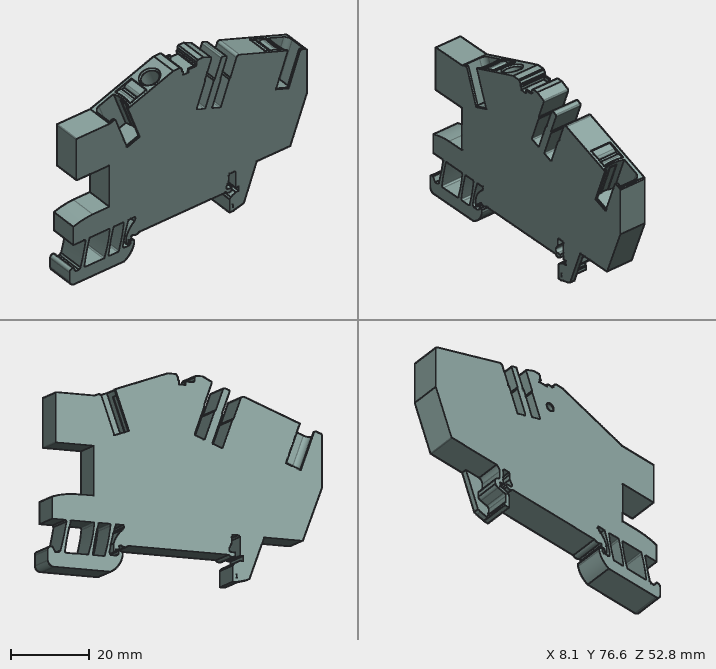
import cadquery as cq
import math


thickness = 8.1
length = 76.57
height = 52.83

slope_angle = 20.0
belly_z = 12.43
root_z = belly_z + 1.0
rail_seat_z = 7.12

front_slope_foot = (12.95, 45.37)
rear_slope_foot = (76.25, 40.65)

slope_tan = math.tan(math.radians(slope_angle))
front_slope_top_y = front_slope_foot[0] + (height - front_slope_foot[1]) / slope_tan


def extrude_x(sketch, start=0.0, end=thickness):
    """Extrude a closed (Y, Z) wire from x = start to x = end."""
    return sketch.extrude(end - start).translate((start, 0, 0))


def outline_start(first, others):
    """Open (Y, Z) path of straight lines, to be continued."""
    path = cq.Workplane("YZ").moveTo(*first)
    for point in others:
        path = path.lineTo(*point)
    return path


def outline(points):
    """Closed (Y, Z) polygon."""
    return cq.Workplane("YZ").polyline(points).close()


def round_corner(body, corner, radius):
    """Fillet the full-width edge nearest to a (Y, Z) corner."""
    nearest = cq.selectors.NearestToPointSelector((thickness / 2, *corner))
    return body.edges("|X").edges(nearest).fillet(radius)


rear_shoulder_y = 53.5
rear_shoulder_z = rear_slope_foot[1] + (rear_slope_foot[0] - rear_shoulder_y) * slope_tan
rear_side_top_z = 40.3
bay_back_y = 12.83
bay_top_z = 32.3
bay_bottom_z = 19.35
upper_nose_y = 2.2
lower_nose_y = 1.25
lower_nose_z = 18.2
lower_nose_bend_y = 7.5
lower_nose_mid = (4.4, 19.03)
nose_edge_radius = 0.2
rear_bottom_y = 71.2
rear_bend_z = 26.7
carrier_top_y = 43.15


def main_block():
    sketch = (
        outline_start(rear_slope_foot, [
            (rear_shoulder_y, rear_shoulder_z),
            (51.6, 49.47),
            (48.4, 50.63),
            (46.4, 51.3),
            (carrier_top_y, height),
            (front_slope_top_y, height),
            front_slope_foot,
            (upper_nose_y, front_slope_foot[1]),
            (upper_nose_y, bay_top_z),
            (bay_back_y, bay_top_z),
            (bay_back_y, bay_bottom_z),
            (lower_nose_bend_y, bay_bottom_z),
        ])
        .threePointArc(lower_nose_mid, (lower_nose_y, lower_nose_z))
        .lineTo(lower_nose_y, belly_z)
        .lineTo(rear_bottom_y, belly_z)
        .lineTo(length, rear_bend_z)
        .lineTo(length, rear_side_top_z)
        .close()
    )
    body = extrude_x(sketch)
    rounded_edges = [
        (upper_nose_y, front_slope_foot[1]),
        (upper_nose_y, bay_top_z),
        (rear_bottom_y, belly_z),
    ]
    for corner in rounded_edges:
        body = round_corner(body, corner, nose_edge_radius)
    return body


def rail_seat():
    """Thick web that rests on the rail, with a hooked lip at each end."""
    sketch = (
        cq.Workplane("YZ")
        .moveTo(51.6, belly_z)
        .lineTo(51.36, 11.8)
        .lineTo(51.36, 10.1)
        .lineTo(50.65, 8.9)
        .threePointArc((50.65, 8.2), (51.2, 7.87))
        .lineTo(52.3, 7.87)
        .lineTo(52.3, 6.9)
        .threePointArc((51.5, 6.6), (50.5, rail_seat_z))
        .lineTo(22.5, rail_seat_z)
        .threePointArc((21.4, 6.7), (20.4, rail_seat_z))
        .lineTo(19.95, 6.8)
        .lineTo(19.95, 6.0)
        .lineTo(19.1, 6.0)
        .lineTo(18.85, 5.1)
        .lineTo(18.37, 5.1)
        .lineTo(18.37, 7.4)
        .threePointArc((19.15, 9.2), (20.9, 11.2))
        .lineTo(21.3, 11.9)
        .lineTo(21.1, belly_z)
        .lineTo(21.1, root_z)
        .lineTo(51.6, root_z)
        .close()
    )
    return extrude_x(sketch)


hook_tip_y = 51.6
hook_web_y = 53.64
gusset_thickness = 1.5


def rear_hook():
    """Springy S-shaped strip that grips behind the rail edge."""
    sketch = (
        cq.Workplane("YZ")
        .moveTo(55.9, root_z)
        .lineTo(55.9, belly_z)
        .threePointArc((55.15, 11.9), (54.8, 11.0))
        .lineTo(54.8, 8.6)
        .threePointArc((55.2, 8.05), (55.7, 7.9))
        .lineTo(56.24, 7.2)
        .lineTo(56.24, 5.6)
        .threePointArc((55.9, 5.1), (55.4, 4.85))
        .lineTo(53.4, 4.35)
        .threePointArc((52.9, 4.15), (52.7, 3.7))
        .lineTo(52.7, 1.4)
        .lineTo(53.0, 1.2)
        .lineTo(53.0, 0.2)
        .lineTo(hook_tip_y, 0.2)
        .lineTo(hook_tip_y, 4.4)
        .lineTo(52.0, 4.95)
        .lineTo(53.6, 5.78)
        .lineTo(54.58, 5.78)
        .lineTo(54.58, rail_seat_z)
        .lineTo(hook_web_y, rail_seat_z)
        .lineTo(hook_web_y, 12.0)
        .lineTo(53.2, belly_z)
        .lineTo(53.2, root_z)
        .close()
    )
    return extrude_x(sketch)


def hook_gusset():
    """Thin plate on the +X side that stiffens the rear hook."""
    points = [
        (60.4, belly_z),
        (56.3, 1.3),
        (55.5, 0.95),
        (52.9, 0.3),
        (52.5, 4.2),
        (55.5, 5.5),
        (55.5, 7.8),
        (54.4, 8.4),
        (54.6, belly_z),
    ]
    return extrude_x(outline(points), thickness - gusset_thickness)


foot_floor_z = 3.9
window_radius = 0.4


def front_foot():
    """Foot bar with its hook, and the block that the spring legs are cut from."""
    sketch = (
        cq.Workplane("YZ")
        .moveTo(19.1, root_z)
        .lineTo(19.1, belly_z)
        .lineTo(18.8, 11.8)
        .threePointArc((17.8, 8.2), (17.25, 5.4))
        .threePointArc((17.25, 4.75), (17.7, 4.34))
        .lineTo(19.2, 4.34)
        .lineTo(19.75, 4.8)
        .lineTo(19.75, 5.6)
        .lineTo(20.5, 5.6)
        .lineTo(20.9, 5.2)
        .lineTo(20.9, 4.4)
        .threePointArc((19.85, 1.96), (17.6, 0))
        .lineTo(1.6, 0)
        .threePointArc((0.47, 0.47), (0, 1.6))
        .lineTo(0, 4.35)
        .threePointArc((0.26, 4.99), (0.9, 5.25))
        .lineTo(1.25, 5.25)
        .lineTo(2.05, foot_floor_z)
        .lineTo(3.05, foot_floor_z)
        .lineTo(3.55, 4.4)
        .threePointArc((4.5, 8.3), (5.2, 12.0))
        .lineTo(4.9, belly_z)
        .lineTo(4.9, root_z)
        .close()
    )
    return extrude_x(sketch)


def leg_window(top_rear_y, top_front_y, bottom_front_y, bottom_rear_y, rear_bow, front_bow):
    """Barrel-shaped opening between two spring legs."""
    mid_z = (belly_z + foot_floor_z) / 2
    rear_mid = ((top_rear_y + bottom_rear_y) / 2 + rear_bow, mid_z)
    front_mid = ((top_front_y + bottom_front_y) / 2 - front_bow, mid_z)
    sketch = (
        cq.Workplane("YZ")
        .moveTo(top_rear_y, belly_z)
        .lineTo(top_front_y, belly_z)
        .threePointArc(front_mid, (bottom_front_y, foot_floor_z))
        .lineTo(bottom_rear_y, foot_floor_z)
        .threePointArc(rear_mid, (top_rear_y, belly_z))
        .close()
    )
    return extrude_x(sketch).edges("|X").fillet(window_radius)


slot_width = 3.0
slot_mouth_width = 3.4
slot_step_depth = 8.1
slot_step_rise = 0.5
slot_reach = 20.0
slot_floor_radius = 0.3
slot_pitch = 5.3
first_slot_floor = (42.35, 36.9)


def marker_slot(index):
    """Slanted slot, slightly wider above a small step."""
    half = slot_width / 2
    half_mouth = slot_mouth_width / 2
    step_end = slot_step_depth + slot_step_rise
    slot = extrude_x(outline([
        (-half, 0),
        (half, 0),
        (half, slot_step_depth),
        (half_mouth, step_end),
        (half_mouth, slot_reach),
        (-half_mouth, slot_reach),
        (-half_mouth, step_end),
        (-half, slot_step_depth),
    ]))
    slot = slot.edges("|X and <Z").fillet(slot_floor_radius)
    angle = math.radians(slope_angle)
    floor_y = first_slot_floor[0] + index * slot_pitch * math.cos(angle)
    floor_z = first_slot_floor[1] - index * slot_pitch * math.sin(angle)
    return slot.rotate((0, 0, 0), (1, 0, 0), -slope_angle).translate((0, floor_y, floor_z))


rear_shoulder_corner = (54.1, 48.7)
rear_shoulder_radius = 0.8
slot_mouth_radius = 0.4
slot_mouth_corners = [(50.9, 49.7), (49.05, 50.35), (45.75, 51.5)]


def round_slot_mouths(body):
    body = round_corner(body, rear_shoulder_corner, rear_shoulder_radius)
    for corner in slot_mouth_corners:
        body = round_corner(body, corner, slot_mouth_radius)
    return body


groove_front_y = 36.65
groove_rear_y = 41.2
groove_floor_z = 50.2
lip_top_z = 51.1
lip_base = 0.6
lip_crest = 0.45
lip_split_y = 38.5


def marker_groove():
    points = [
        (35.65, height),
        (35.95, 52.6),
        (36.4, 51.85),
        (36.3, 51.4),
        (groove_front_y, lip_top_z),
        (groove_front_y, groove_floor_z),
        (groove_rear_y, groove_floor_z),
        (groove_rear_y, lip_top_z),
        (40.65, lip_top_z),
        (40.97, 51.5),
        (40.97, 52.3),
        (41.35, height),
    ]
    return extrude_x(outline(points))


def groove_lip(start_y, end_y):
    """Low lip along the -X edge of the groove floor, with a leaning inner face."""
    section = [
        (0, groove_floor_z),
        (lip_base, groove_floor_z),
        (lip_crest, lip_top_z),
        (0, lip_top_z),
    ]
    lip = cq.Workplane("XZ").polyline(section).close().extrude(start_y - end_y)
    return lip.translate((0, start_y, 0))


def groove_lips():
    near_lip = groove_lip(groove_front_y, lip_split_y)
    far_lip = groove_lip(lip_split_y, groove_rear_y)
    far_lip = far_lip.mirror("YZ").translate((thickness, 0, 0))
    return near_lip.union(far_lip)


side_hole_y = 37.55
side_hole_z = 43.7
side_hole_diameter = 2.2
side_hole_mouth_diameter = 2.5
side_hole_depth = 3.0


def side_hole():
    chamfer = (side_hole_mouth_diameter - side_hole_diameter) / 2
    center = cq.Workplane("YZ").center(side_hole_y, side_hole_z)
    bore = center.circle(side_hole_diameter / 2).extrude(side_hole_depth)
    mouth = center.circle(side_hole_mouth_diameter / 2).extrude(chamfer, taper=45)
    return bore.union(mouth)


pocket_min_x = 1.15
pocket_max_x = 7.5
pocket_start = 0.4
pocket_end = 7.05
pocket_bulge = 0.4
pocket_depth = 11.5
pocket_corner_radius = 1.6

notch_start = 1.9
notch_end = 6.25
notch_depth = 11.2
notch_mouth_radius = 0.6

recess_min_x = 3.0
recess_max_x = 5.1
recess_top = 1.5
recess_end = pocket_end + pocket_bulge + 0.1

button_start = 7.8
button_bulge = 0.3
button_end = 13.4
button_width = 6.23
button_depth = pocket_depth
button_sink = 0.35

grip_center = 10.2
grip_half_width = 1.2
grip_floor_half_width = 0.35
grip_depth = 0.65

test_hole_x = 4.5
test_hole_y = 16.7
test_hole_diameter = 4.9
test_hole_mouth_diameter = 5.8
test_hole_depth = 5.7


def bulged_prism(min_x, max_x, start, start_bulge, end, end_bulge, depth):
    """Prism sunk from the slope, its two ends bowed up the slope by the given amounts."""
    mid_x = (min_x + max_x) / 2
    sketch = cq.Workplane("XY").moveTo(min_x, start)
    if start_bulge:
        sketch = sketch.threePointArc((mid_x, start + start_bulge), (max_x, start))
    else:
        sketch = sketch.lineTo(max_x, start)
    sketch = sketch.lineTo(max_x, end)
    if end_bulge:
        sketch = sketch.threePointArc((mid_x, end + end_bulge), (min_x, end))
    else:
        sketch = sketch.lineTo(min_x, end)
    return sketch.close().extrude(-depth)


def wire_pocket():
    """Wire entry: a deep pocket, a notch through its +X wall and a flat on its curved wall."""
    pocket = bulged_prism(pocket_min_x, pocket_max_x, pocket_start, 0, pocket_end, pocket_bulge, pocket_depth)
    pocket = pocket.edges("|Z and <X and <Y").fillet(pocket_corner_radius)

    notch = (
        cq.Workplane("YZ")
        .moveTo(notch_start - notch_mouth_radius, 0)
        .radiusArc((notch_start, -notch_mouth_radius), notch_mouth_radius)
        .lineTo(notch_start, -notch_depth)
        .lineTo(notch_end, -notch_depth)
        .lineTo(notch_end, 0)
        .close()
    )
    notch = extrude_x(notch, pocket_max_x)

    flat = cq.Workplane("XY").box(
        recess_max_x - recess_min_x,
        recess_end - pocket_start,
        pocket_depth - recess_top,
        centered=False,
    )
    flat = flat.translate((recess_min_x, pocket_start, -pocket_depth))
    return pocket.union(notch).union(flat)


def button_seat():
    """Full button envelope, up to the slope surface."""
    margin = (thickness - button_width) / 2
    return bulged_prism(
        margin, thickness - margin, button_start, button_bulge, button_end, 0, button_depth
    )


def button_shape():
    """Push button: its face lies just below the slope and carries a finger groove with rolled sides."""
    face_z = -button_sink
    floor_z = face_z - grip_depth
    roll_width = grip_half_width - grip_floor_half_width
    roll_offset = grip_floor_half_width + 0.4 * roll_width
    roll_z = face_z - 0.35 * grip_depth
    floor_start = grip_center - grip_floor_half_width
    floor_end = grip_center + grip_floor_half_width
    grip_start = grip_center - grip_half_width
    grip_end = grip_center + grip_half_width
    side = (
        cq.Workplane("YZ")
        .moveTo(0, face_z)
        .lineTo(grip_start, face_z)
        .threePointArc((grip_center - roll_offset, roll_z), (floor_start, floor_z))
        .lineTo(floor_end, floor_z)
        .threePointArc((grip_center + roll_offset, roll_z), (grip_end, face_z))
        .lineTo(button_end, face_z)
        .lineTo(button_end, -button_depth)
        .lineTo(0, -button_depth)
        .close()
    )
    return button_seat().intersect(extrude_x(side))


def test_hole():
    chamfer = (test_hole_mouth_diameter - test_hole_diameter) / 2
    center = cq.Workplane("XY").center(test_hole_x, test_hole_y)
    bore = center.circle(test_hole_diameter / 2).extrude(-test_hole_depth)
    mouth = center.circle(test_hole_mouth_diameter / 2).extrude(-chamfer, taper=45)
    return bore.union(mouth)


def on_front_slope(shape):
    tilted = shape.rotate((0, 0, 0), (1, 0, 0), slope_angle)
    return tilted.translate((0, *front_slope_foot))


def on_rear_slope(shape):
    tilted = shape.rotate((0, 0, 0), (1, 0, 0), slope_angle)
    return tilted.mirror("XZ").translate((0, *rear_slope_foot))


def build_housing():
    body = main_block()
    for part in (rail_seat(), rear_hook(), hook_gusset(), front_foot()):
        body = body.union(part)
    body = body.cut(leg_window(17.55, 14.2, 12.55, 15.85, 0.2, 0.15))
    body = body.cut(leg_window(13.0, 6.45, 4.75, 11.25, 0.28, 0.15))
    for index in range(2):
        body = body.cut(marker_slot(index))
    body = round_slot_mouths(body)
    body = body.cut(marker_groove()).union(groove_lips())
    body = body.cut(side_hole())
    for place in (on_front_slope, on_rear_slope):
        body = body.cut(place(wire_pocket()))
        body = body.cut(place(button_seat()))
    return body.cut(on_front_slope(test_hole()))


housing = build_housing()
buttons = [place(button_shape()) for place in (on_front_slope, on_rear_slope)]

bodies = [housing, *buttons]
result = cq.Compound.makeCompound([body.solids().val() for body in bodies])